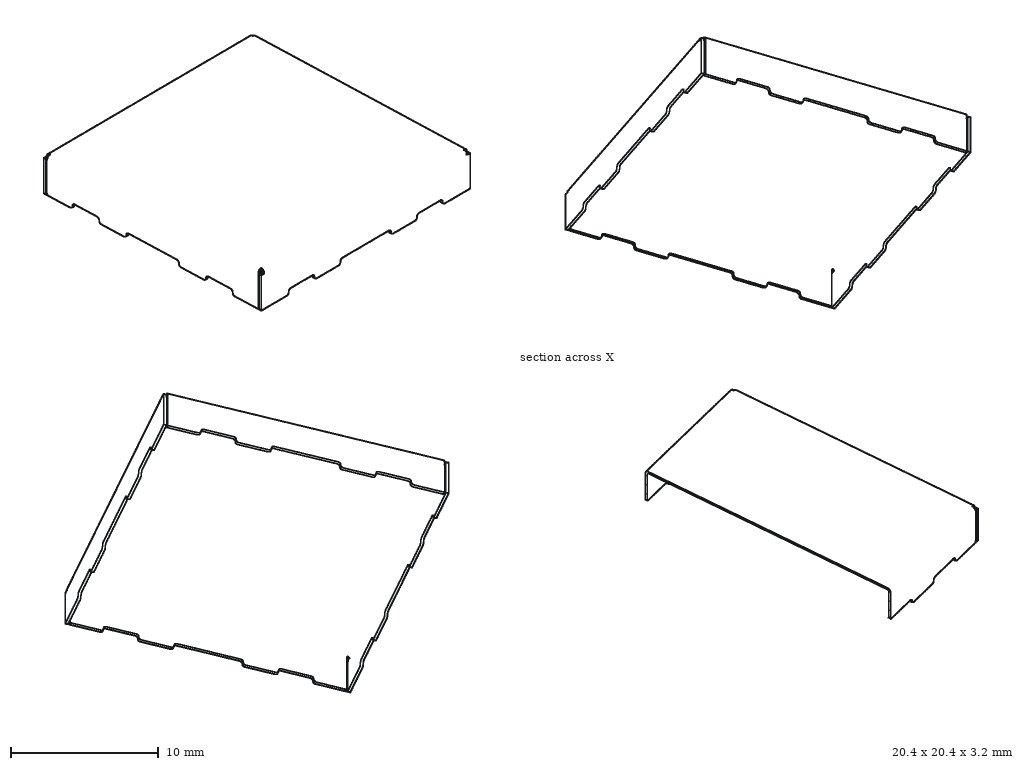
import cadquery as cq

side = 20.4
height = 3.2

sheet = 0.2
bend_radius = 0.3
inner_radius = bend_radius - sheet
flat_half = side / 2 - bend_radius
wall_top = height - bend_radius

notch_depth = 0.45
notch_corner_radius = 0.2
notch_outer_width = 2.5
notch_middle_width = 4.94
notch_outer_offset = 6.26


def folded_wall():
    """Bend and wall on the -Y side, as wide as the flat top plate."""
    outer = -side / 2
    profile = (
        cq.Workplane("YZ")
        .moveTo(-flat_half, height)
        .radiusArc((outer, wall_top), -bend_radius)
        .lineTo(outer, 0)
        .lineTo(outer + sheet, 0)
        .lineTo(outer + sheet, wall_top)
        .radiusArc((-flat_half, height - sheet), inner_radius)
        .close()
    )
    return profile.extrude(flat_half, both=True)


def wall_extensions():
    """Full-length strips that carry the -X and +X walls past their bends to the cap corners."""
    strip_center = (side - sheet) / 2
    return (
        cq.Workplane("XY")
        .pushPoints([(-strip_center, 0), (strip_center, 0)])
        .rect(sheet, side)
        .extrude(wall_top)
    )


def notch(center, width):
    """Cutter through the -Y and +Y walls: rounded at its ceiling and flared at its mouth."""
    radius = notch_corner_radius
    left = center - width / 2
    right = center + width / 2
    profile = (
        cq.Workplane("XZ")
        .moveTo(left - radius, 0)
        .radiusArc((left, radius), -radius)
        .lineTo(left, notch_depth - radius)
        .radiusArc((left + radius, notch_depth), radius)
        .lineTo(right - radius, notch_depth)
        .radiusArc((right, notch_depth - radius), radius)
        .lineTo(right, radius)
        .radiusArc((right + radius, 0), -radius)
        .close()
    )
    return profile.extrude(side, both=True)


cap = (
    cq.Workplane("XY")
    .workplane(offset=height - sheet)
    .rect(2 * flat_half, 2 * flat_half)
    .extrude(sheet)
)

for quarter_turn in range(4):
    cap = cap.union(folded_wall().rotate((0, 0, 0), (0, 0, 1), 90 * quarter_turn))
cap = cap.union(wall_extensions())

notch_layout = [
    (-notch_outer_offset, notch_outer_width),
    (0, notch_middle_width),
    (notch_outer_offset, notch_outer_width),
]
for center, width in notch_layout:
    cutter = notch(center, width)
    cap = cap.cut(cutter)
    cap = cap.cut(cutter.rotate((0, 0, 0), (0, 0, 1), 90))

result = cap